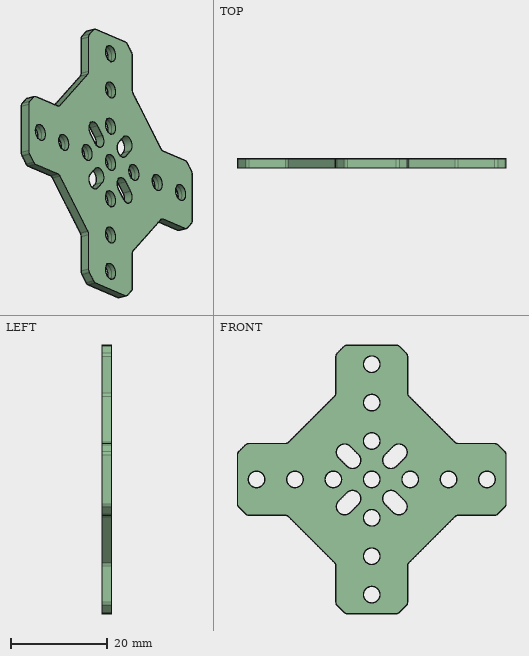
import cadquery as cq
import math

span = 56.0
thickness = 2.0
arm_width = 15.0
web_corner = 17.6
tip_chamfer = 2.0
corner_radius = 1.0
hole_diameter = 3.4
hole_pitch = 8.0
holes_per_arm = 3
slot_width = hole_diameter

reach = span / 2
half_arm = arm_width / 2
slot_inner_distance = hole_pitch / math.sqrt(2)
slot_outer_distance = hole_pitch
slot_centre_distance = (slot_inner_distance + slot_outer_distance) / 2
slot_length = slot_outer_distance - slot_inner_distance + slot_width
quarter_turns = [90 * i for i in range(4)]


def turned(point, angle):
    """Rotate a point of the plate plane about the centre by an angle in degrees."""
    x, z = point
    a = math.radians(angle)
    return (x * math.cos(a) - z * math.sin(a), x * math.sin(a) + z * math.cos(a))


def cross_plate():
    """Four chamfered arms joined by sloped webs, with all outline corners rounded."""
    arm = [
        (web_corner, -half_arm),
        (reach - tip_chamfer, -half_arm),
        (reach, -half_arm + tip_chamfer),
        (reach, half_arm - tip_chamfer),
        (reach - tip_chamfer, half_arm),
        (web_corner, half_arm),
    ]
    outline = [turned(point, angle) for angle in quarter_turns for point in arm]
    plate = cq.Workplane("XZ").polyline(outline).close().extrude(thickness / 2, both=True)
    return plate.edges("|Y").fillet(corner_radius)


def hole_cutter():
    """Centre hole plus a row of evenly pitched holes along each arm."""
    centres = [(0, 0)]
    for angle in quarter_turns:
        for i in range(1, holes_per_arm + 1):
            centres.append(turned((i * hole_pitch, 0), angle))
    holes = cq.Workplane("XZ").pushPoints(centres).circle(hole_diameter / 2)
    return holes.extrude(thickness, both=True)


def slot_cutter(angle):
    """Radial through slot in the direction given by the angle in degrees."""
    slot = cq.Workplane("XZ").center(*turned((slot_centre_distance, 0), angle))
    return slot.slot2D(slot_length, slot_width, angle).extrude(thickness, both=True)


result = cross_plate().cut(hole_cutter())
for quarter in quarter_turns:
    result = result.cut(slot_cutter(quarter + 45))